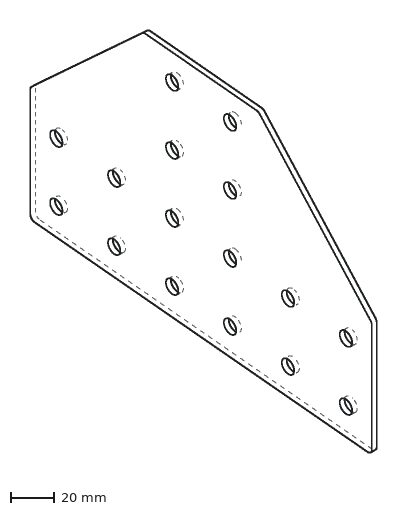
import cadquery as cq

width = 236.0
height = 156.0
thickness = 3.0
corner_radius = 3.0

shoulder = 78.4
half_width = width / 2
half_top = half_width - shoulder
shoulder_height = height - shoulder

hole_diameter = 8.5
edge_margin = 18.0
base_columns = 6
base_rows = 2
stem_columns = 2
total_rows = 4
pitch_x = (width - 2 * edge_margin) / (base_columns - 1)
pitch_z = (height - 2 * edge_margin) / (total_rows - 1)


def hole_centres():
    """Return the (x, z) hole centres, each row centred on the plate."""
    centres = []
    for row in range(total_rows):
        columns = base_columns if row < base_rows else stem_columns
        z = edge_margin + row * pitch_z
        for column in range(columns):
            x = (column - (columns - 1) / 2) * pitch_x
            centres.append((x, z))
    return centres


def make_plate():
    """Return the T-shaped plate, front face on Y = 0, with rounded corners."""
    outline = [
        (-half_width, 0),
        (half_width, 0),
        (half_width, shoulder_height),
        (half_top, height),
        (-half_top, height),
        (-half_width, shoulder_height),
    ]
    plate = cq.Workplane("XZ").polyline(outline).close().extrude(-thickness)
    return plate.edges("|Y").fillet(corner_radius)


def drill_holes(plate):
    """Cut every mounting hole through the plate."""
    holes = (
        cq.Workplane("XZ")
        .pushPoints(hole_centres())
        .circle(hole_diameter / 2)
        .extrude(-thickness)
    )
    return plate.cut(holes)


result = drill_holes(make_plate())